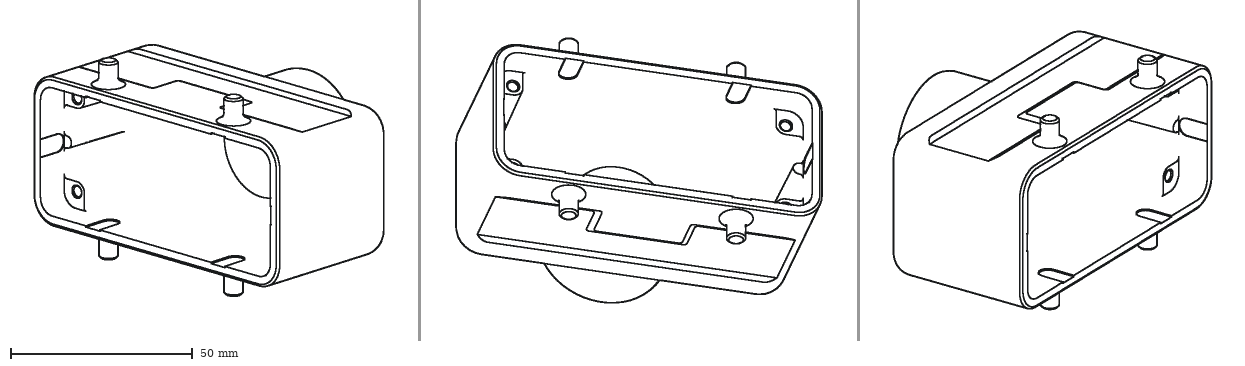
import cadquery as cq
import math


selection_margin = 0.1
overlap = 1.0

body_length = 93.5
body_height = 43.0
body_depth = 45.0
body_corner_radius = 7.7
back_edge_radius = 5.0
mouth_chamfer_inward = 0.75
mouth_chamfer_depth = 0.6

overall_depth = 61.0
neck_diameter = 37.2
bore_diameter = 28.0
neck_end_chamfer_axial = 1.0
neck_end_chamfer_radial = 0.3
neck_base_radius = 1.0
neck_root_dip = 2.0

wall = 3.0
cavity_length = body_length - 2 * wall
cavity_height = body_height - 2 * wall
cavity_corner_radius = 4.5
cavity_depth = body_depth - wall
cavity_draft = 0.5
floor_radius = 1.0
chamber_length = 72.2
chamber_corner_radius = 0.6

post_setback = 9.3
post_nose_radius = 2.9
screw_x = 38.8
screw_z = 13.5
screw_hole_diameter = 3.0
screw_entry_diameter = 3.7
screw_hole_depth = 12.0
recess_depth = 32.0
recess_draft = 0.8
recess_lip_radius = 0.9
recess_half_length = cavity_length / 2 - post_setback * math.tan(math.radians(cavity_draft))
recess_half_height = screw_z - post_nose_radius
recess_corner_radius = 1.0
recess_floor_radius = 0.95

rib_tip_radius = 1.75
rib_center_x = 42.6

pin_spacing = 47.6
pin_positions = (-pin_spacing / 2, pin_spacing / 2)
pin_y = 6.2
pin_diameter = 5.25
pin_span = 57.0
pin_chamfer = 0.6
pin_foot_diameter = 9.4
pin_foot_height = 0.3
pin_foot_top_diameter = 8.2
pin_cone_height = 1.15
pin_cone_top_diameter = 6.1
pin_flare_height = 2.25

slot_width = pin_diameter
pin_slot_depth = 0.35
pin_slot_arc_y = 6.8
end_slot_depth = 0.15
end_slot_arc_y = post_setback - slot_width / 2

panel_depth = 0.87
panel_bevel = 1.75
panel_back_y = 33.4
panel_front_y = 13.85
tab_back_y = 23.9
tab_half_width = 14.3
panel_corner_radius = 1.0


def box_between(x_min, x_max, y_min, y_max, z_min, z_max):
    size = (x_max - x_min, y_max - y_min, z_max - z_min)
    corner = cq.Vector(x_min, y_min, z_min)
    return cq.Workplane(cq.Solid.makeBox(*size, corner))


def xz_plane(y):
    """Sketch plane at the given Y, with local axes along X and Z."""
    return cq.Workplane("XZ", origin=(0, y, 0))


def along_y(diameter, x, z, y_min, y_max):
    return xz_plane(y_min).center(x, z).circle(diameter / 2).extrude(y_min - y_max)


def make_body():
    body = xz_plane(0).rect(body_length, body_height).extrude(-body_depth)
    body = body.edges("|Y").fillet(body_corner_radius)
    body = body.faces(">Y").edges().fillet(back_edge_radius)
    return body.faces("<Y").chamfer(mouth_chamfer_depth, mouth_chamfer_inward)


def add_neck(body):
    neck_start_y = body_depth - back_edge_radius
    neck = along_y(neck_diameter, 0, 0, neck_start_y, overall_depth)
    neck = neck.faces(">Y").chamfer(neck_end_chamfer_axial, neck_end_chamfer_radial)
    joined = body.union(neck)
    half = neck_diameter / 2 + selection_margin
    base = cq.selectors.BoxSelector(
        (-half, body_depth - neck_root_dip, -half),
        (half, body_depth + selection_margin, half),
        boundingbox=True,
    )
    return joined.edges(base).fillet(neck_base_radius)


def drafted_pocket(length, height, corner_radius, depth):
    """Rectangular pocket opening at the mouth and narrowing with depth."""
    outline = cq.Sketch().rect(length, height).vertices().fillet(corner_radius)
    return xz_plane(0).placeSketch(outline).extrude(-depth, taper=cavity_draft)


def make_guide_rib(end_x):
    """Half-round rib that widens with depth and runs back to the wall at end_x."""
    outline = (
        xz_plane(post_setback)
        .moveTo(end_x, -rib_tip_radius)
        .lineTo(rib_center_x, -rib_tip_radius)
        .threePointArc((rib_center_x - rib_tip_radius, 0), (rib_center_x, rib_tip_radius))
        .lineTo(end_x, rib_tip_radius)
        .close()
    )
    return outline.extrude(post_setback - recess_depth, taper=-recess_draft)


def make_end_recess():
    """Recess between the screw posts at the +X end, leaving the guide rib standing."""
    open_x = chamber_length / 2 - 2 * floor_radius
    end_x = recess_half_length
    half = recess_half_height
    nose_x = screw_x - post_nose_radius
    diagonal = post_nose_radius * math.sqrt(0.5)
    recess = (
        xz_plane(post_setback)
        .moveTo(open_x, -screw_z)
        .lineTo(nose_x, -screw_z)
        .threePointArc((screw_x - diagonal, diagonal - screw_z), (screw_x, -half))
        .lineTo(end_x, -half)
        .lineTo(end_x, half)
        .lineTo(screw_x, half)
        .threePointArc((screw_x - diagonal, screw_z - diagonal), (nose_x, screw_z))
        .lineTo(open_x, screw_z)
        .close()
        .extrude(post_setback - recess_depth, taper=recess_draft)
    )
    recess = recess.cut(make_guide_rib(end_x + overlap))
    wall_corners = cq.selectors.BoxSelector(
        (end_x - recess_corner_radius, post_setback + selection_margin, -half),
        (end_x, recess_depth - selection_margin, half),
    )
    recess = recess.edges(wall_corners).fillet(recess_corner_radius)
    floor_edges = cq.selectors.BoxSelector(
        (screw_x - selection_margin, recess_depth - selection_margin, -half),
        (end_x, recess_depth + selection_margin, half),
        boundingbox=True,
    )
    return recess.edges(floor_edges).fillet(recess_floor_radius)


def make_cavity():
    mouth = drafted_pocket(cavity_length, cavity_height, cavity_corner_radius, post_setback)
    chamber = drafted_pocket(chamber_length, cavity_height, chamber_corner_radius, cavity_depth)
    chamber = chamber.faces(">Y").edges().fillet(floor_radius)
    recess = make_end_recess()
    cavity = mouth.union(chamber).union(recess).union(recess.mirror("YZ"))
    lip_x = chamber_length / 2
    for side in (1, -1):
        lip = cq.selectors.BoxSelector(
            (side * lip_x - floor_radius, recess_depth - selection_margin, -floor_radius),
            (side * lip_x + floor_radius, recess_depth + selection_margin, floor_radius),
        )
        cavity = cavity.edges(lip).fillet(recess_lip_radius)
    return cavity.union(along_y(bore_diameter, 0, 0, cavity_depth - overlap, overall_depth))


def make_screw_hole(x, z):
    entry_chamfer = (screw_entry_diameter - screw_hole_diameter) / 2
    hole = along_y(screw_hole_diameter, x, z, post_setback, post_setback + screw_hole_depth)
    entry = xz_plane(post_setback).center(x, z).circle(screw_entry_diameter / 2)
    entry = entry.extrude(-entry_chamfer, taper=45)
    return hole.union(entry)


def make_pin(x, side):
    """Locking pin standing on a long face; side is +1 for +Z and -1 for -Z."""
    surface = body_height / 2
    tip = pin_span / 2
    radius = pin_diameter / 2
    cone_top = pin_cone_top_diameter / 2
    flare_drop = pin_flare_height - pin_cone_height
    flare_growth = cone_top - radius
    profile = (
        cq.Workplane("XZ", origin=(x, pin_y, 0))
        .moveTo(0, surface - wall / 2)
        .lineTo(pin_foot_diameter / 2, surface - wall / 2)
        .lineTo(pin_foot_diameter / 2, surface)
        .lineTo(pin_foot_top_diameter / 2, surface + pin_foot_height)
        .lineTo(cone_top, surface + pin_cone_height)
        .threePointArc(
            (radius + flare_growth / 4, surface + pin_cone_height + flare_drop / 2),
            (radius, surface + pin_flare_height),
        )
        .lineTo(radius, tip - pin_chamfer)
        .lineTo(radius - pin_chamfer, tip)
        .lineTo(0, tip)
        .close()
    )
    pin = profile.revolve(360, (0, 0, 0), (0, 1, 0))
    return pin if side > 0 else pin.mirror("XY")


def panel_outline(offset, z):
    """Panel outline at height z, grown outward by the given bevel offset."""
    end_x = body_length / 2 + overlap
    back_y = panel_back_y + offset
    front_y = panel_front_y - offset
    tab_y = tab_back_y - offset
    tab_x = tab_half_width - offset
    corners = [
        (-end_x, front_y),
        (-tab_x, front_y),
        (-tab_x, tab_y),
        (tab_x, tab_y),
        (tab_x, front_y),
        (end_x, front_y),
        (end_x, back_y),
        (-end_x, back_y),
    ]
    outline = cq.Workplane("XY", origin=(0, 0, z)).polyline(corners).close().wire().val()
    tab_corners = [v for v in outline.Vertices() if abs(v.X) < tab_half_width + selection_margin]
    return outline.fillet2D(panel_corner_radius, tab_corners)


def make_panel():
    floor_z = body_height / 2 - panel_depth
    top_scale = 1.2
    floor_outline = panel_outline(0, floor_z)
    top_outline = panel_outline(panel_bevel * top_scale, floor_z + panel_depth * top_scale)
    return cq.Workplane(cq.Solid.makeLoft([floor_outline, top_outline], True))


def make_relief_slot(depth, arc_y):
    """Round-ended slot running in from the mouth, sunk by depth into a wall at Z = 0."""
    straight = box_between(-slot_width / 2, slot_width / 2, -overlap, arc_y, -overlap, depth)
    end = cq.Workplane("XY", origin=(0, arc_y, -overlap)).circle(slot_width / 2)
    return straight.union(end.extrude(overlap + depth))


def cut_panels(part):
    panel = make_panel()
    return part.cut(panel).cut(panel.mirror("XY"))


def add_pins(part):
    for x in pin_positions:
        for side in (1, -1):
            part = part.union(make_pin(x, side))
    return part


def cut_relief_slots(part):
    """One slot under each pin and one at the middle of each end wall."""
    pin_slot = make_relief_slot(pin_slot_depth, pin_slot_arc_y)
    for x in pin_positions:
        placed = pin_slot.translate((x, 0, cavity_height / 2))
        part = part.cut(placed).cut(placed.mirror("XY"))
    end_slot = make_relief_slot(end_slot_depth, end_slot_arc_y)
    end_slot = end_slot.rotate((0, 0, 0), (0, 1, 0), 90)
    end_slot = end_slot.translate((cavity_length / 2, 0, 0))
    return part.cut(end_slot).cut(end_slot.mirror("YZ"))


def cut_screw_holes(part):
    for x in (-screw_x, screw_x):
        for z in (-screw_z, screw_z):
            part = part.cut(make_screw_hole(x, z))
    return part


hood = add_neck(make_body())
hood = cut_panels(hood)
hood = add_pins(hood)
hood = hood.cut(make_cavity())
hood = cut_relief_slots(hood)
result = cut_screw_holes(hood)